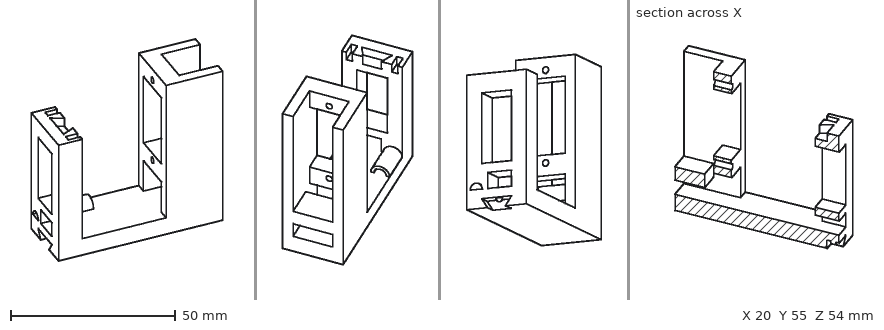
import cadquery as cq

width = 20.0
length = 55.0
height = 54.0
base_thickness = 6.0
arm_depth = 8.0
arm_height = 42.0
tower_front = 36.0
center_x = width / 2

channel_width = 13.0
tower_wall = 6.0
channel_front = tower_front + tower_wall
window_bottom = 23.5
window_top = 47.5
cavity_top = 17.0
tie_front = 45.0
tie_bottom = 11.0
tie_top = 16.0
screw_hole_diameter = 2.0
screw_hole_heights = (21.0, 50.0)

arm_window_width = 10.0
arm_window_bottom = 14.0
arm_window_top = 36.0
cable_window_left = 7.0
cable_window_right = 15.0
cable_window_top = 11.0

dovetail_wide = 10.0
dovetail_narrow = 6.0
upper_dovetail_depth = 4.0
upper_dovetail_height = 3.0
lower_dovetail_depth = 3.0
lower_dovetail_length = 4.0
slot_width = 2.0
slot_offset = 7.5
bump_radius = 1.0

tube_center_x = 3.2
tube_outer_radius = 3.1
tube_inner_radius = 2.0
tube_length = 10.0


def box(x_range, y_range, z_range):
    """Axis-aligned box between the given limits."""
    sizes = [high - low for low, high in (x_range, y_range, z_range)]
    corner = (x_range[0], y_range[0], z_range[0])
    return cq.Workplane("XY").box(*sizes, centered=False).translate(corner)


def centered_box(box_width, y_range, z_range):
    """Box symmetric about the middle of the part's width."""
    x_range = (center_x - box_width / 2, center_x + box_width / 2)
    return box(x_range, y_range, z_range)


def frame():
    """Side outline of base, arm and tower, extruded over the width."""
    outline = [
        (0, 0),
        (length, 0),
        (length, height),
        (tower_front, height),
        (tower_front, base_thickness),
        (arm_depth, base_thickness),
        (arm_depth, arm_height),
        (0, arm_height),
    ]
    return cq.Workplane("YZ").polyline(outline).close().extrude(width)


def dovetail_outline(workplane, wide_level, narrow_level):
    """Closed trapezoid on a workplane whose first axis is X."""
    corners = [
        (center_x - dovetail_wide / 2, wide_level),
        (center_x + dovetail_wide / 2, wide_level),
        (center_x + dovetail_narrow / 2, narrow_level),
        (center_x - dovetail_narrow / 2, narrow_level),
    ]
    return workplane.polyline(corners).close()


def rod(x, z, radius, y_range):
    """Cylinder along Y."""
    rod_length = y_range[1] - y_range[0]
    axis_start = cq.Vector(x, y_range[0], z)
    return cq.Workplane(cq.Solid.makeCylinder(radius, rod_length, axis_start, cq.Vector(0, 1, 0)))


def half_rod(radius, y_range):
    """Upper half of a cylinder along Y, lying on the base."""
    full = rod(tube_center_x, base_thickness, radius, y_range)
    upper_half = box(
        (tube_center_x - radius, tube_center_x + radius),
        y_range,
        (base_thickness, base_thickness + radius),
    )
    return full.intersect(upper_half)


def cut_tower(body):
    """Rear channel, front window, lower cavity with tie bar, screw holes."""
    body = body.cut(centered_box(channel_width, (channel_front, length), (base_thickness, height)))
    tower_wall_span = (tower_front, channel_front)
    for z_range in ((base_thickness, cavity_top), (window_bottom, window_top)):
        body = body.cut(centered_box(channel_width, tower_wall_span, z_range))
    for hole_z in screw_hole_heights:
        body = body.cut(rod(center_x, hole_z, screw_hole_diameter / 2, tower_wall_span))
    return body.union(centered_box(channel_width, (tie_front, length), (tie_bottom, tie_top)))


def cut_arm(body):
    """Windows through the front arm and the dovetail socket with side slots at its top."""
    arm_span = (0, arm_depth)
    body = body.cut(centered_box(arm_window_width, arm_span, (arm_window_bottom, arm_window_top)))
    cable_window = box(
        (cable_window_left, cable_window_right),
        arm_span,
        (base_thickness, cable_window_top),
    )
    body = body.cut(cable_window)
    socket_floor = arm_height - upper_dovetail_height
    socket_front = arm_depth - upper_dovetail_depth
    socket_plane = cq.Workplane("XY", origin=(0, 0, socket_floor))
    socket = dovetail_outline(socket_plane, socket_front, arm_depth).extrude(upper_dovetail_height)
    body = body.cut(socket)
    for side in (-1, 1):
        slot_x = center_x + side * slot_offset
        slot = box(
            (slot_x - slot_width / 2, slot_x + slot_width / 2),
            (socket_front, arm_depth),
            (socket_floor, arm_height),
        )
        body = body.cut(slot)
    return body


def cut_lower_dovetail(body):
    """Dovetail groove under the arm, with a round bump on its ceiling."""
    groove_plane = cq.Workplane("XZ")
    groove = dovetail_outline(groove_plane, lower_dovetail_depth, 0).extrude(-lower_dovetail_length)
    bump_center = (center_x, lower_dovetail_length / 2, lower_dovetail_depth)
    bump = cq.Workplane("XY").sphere(bump_radius).translate(bump_center)
    return body.cut(groove).union(bump)


def add_wire_tube(body):
    """Half-round tube behind the arm, its bore continuing through the arm."""
    tube_end = arm_depth + tube_length
    body = body.union(half_rod(tube_outer_radius, (arm_depth, tube_end)))
    return body.cut(half_rod(tube_inner_radius, (0, tube_end)))


result = add_wire_tube(cut_lower_dovetail(cut_arm(cut_tower(frame()))))